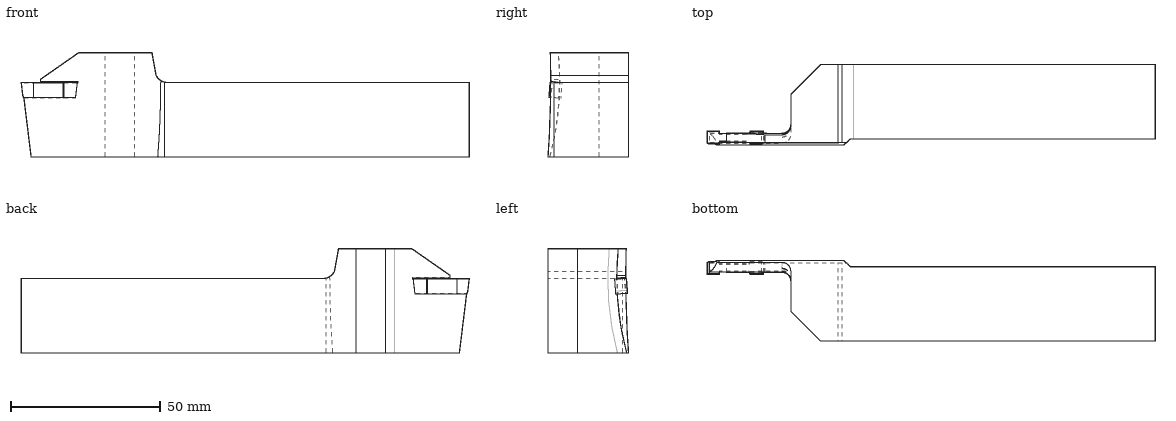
import cadquery as cq
import math


total_length = 150.0
shank_width = 25.0
shank_height = 25.0
head_height = 35.0
outer_face_y = -2.05

blade_front_bottom_x = 3.3
jaw_front_x = 6.4
jaw_front_height = 0.65
jaw_top_x = 19.3
head_back_x = 43.8
back_round_start_x = 45.2
back_round_end_x = 48.9
back_round_radius = 4.1

blade_length = 28.0
corner_chamfer = 10.0
root_fillet_radius = 3.0
ramp_end_x = 47.9
ramp_run = 2.2

blade_inner_y = 1.95
blade_inner_radius = 95.0
blade_outer_y = -1.1
outer_face_sag = blade_outer_y - outer_face_y
blade_outer_radius = (shank_height**2 / outer_face_sag + outer_face_sag) / 2

insert_top_z = shank_height
insert_height = 5.0
insert_length = 18.8
insert_width = 4.0
insert_center_y = 0.65
neck_depth = 0.75
neck_start_x = 4.1
neck_end_x = 14.0
neck_end_run = 0.4
relief_slope = math.tan(math.radians(7))
insert_tilt = 4.0
toe_height = 1.0
toe_setback = 0.2
insert_outer_y = insert_center_y - insert_width / 2
seat_z = insert_top_z - insert_height
end_setback = insert_height * relief_slope
blade_front_seat_x = blade_front_bottom_x - seat_z * relief_slope

jaw_gap = 0.35
gap_overrun = 0.3

reach = 10.0


def block(x_min, x_max, y_min, y_max, z_min, z_max):
    return cq.Workplane("XY").box(
        x_max - x_min, y_max - y_min, z_max - z_min, centered=False
    ).translate((x_min, y_min, z_min))


def side_prism(outline, y_min, y_max):
    """Extrude an XZ outline from y_min to y_max."""
    return cq.Workplane("XZ", origin=(0, y_max, 0)).polyline(outline).close().extrude(y_max - y_min)


def cylinder_along_x(y_apex, radius, x_min, x_max):
    """Cylinder whose +Y-most line lies at y_apex, level with the cutting edge."""
    axis_start = (x_min, y_apex - radius, insert_top_z)
    return cq.Workplane("YZ", origin=axis_start).circle(radius).extrude(x_max - x_min)


def tilt(body):
    """Tilt a body about the top -Y edge of the insert."""
    return body.rotate(
        (0, insert_outer_y, insert_top_z), (1, insert_outer_y, insert_top_z), -insert_tilt)


def make_profile():
    """Side outline of head and shank, with the round where the head's back meets the shank."""
    run = back_round_end_x - back_round_start_x
    rise = back_round_radius - math.sqrt(back_round_radius**2 - run**2)
    jaw_bottom_z = insert_top_z + jaw_gap
    return (
        cq.Workplane("XZ", origin=(0, shank_width, 0))
        .moveTo(blade_front_bottom_x, 0)
        .lineTo(blade_front_seat_x, seat_z)
        .lineTo(jaw_front_x, seat_z)
        .lineTo(jaw_front_x, jaw_bottom_z + jaw_front_height)
        .lineTo(jaw_top_x, head_height)
        .lineTo(head_back_x, head_height)
        .lineTo(back_round_start_x, shank_height + rise)
        .radiusArc((back_round_end_x, shank_height), -back_round_radius)
        .lineTo(total_length, shank_height)
        .lineTo(total_length, 0)
        .close()
        .extrude(shank_width - outer_face_y)
    )


def make_plan():
    """Plan outline: chamfered head corner, and the ramp from outer face to shank."""
    outline = [
        (0, outer_face_y),
        (ramp_end_x - ramp_run, outer_face_y),
        (ramp_end_x, 0),
        (total_length, 0),
        (total_length, shank_width),
        (blade_length + corner_chamfer, shank_width),
        (blade_length, shank_width - corner_chamfer),
        (0, shank_width - corner_chamfer),
    ]
    return cq.Workplane("XY").polyline(outline).close().extrude(head_height)


def make_blade_clearance():
    """Space beside the blade, its inside edge rounded to leave a fillet at the blade's root."""
    space = block(-reach, blade_length, -reach, shank_width + reach, -reach, head_height + reach)
    space = space.cut(cylinder_along_x(blade_inner_y, blade_inner_radius, -2 * reach, total_length))
    root = cq.selectors.BoxSelector(
        (blade_length - root_fillet_radius, -reach, 0),
        (blade_length + root_fillet_radius, reach, head_height),
    )
    return space.edges(root).fillet(root_fillet_radius)


def make_insert():
    """Double-ended insert with relieved ends and a neck set in on both sides."""
    outline = [
        (0, insert_top_z),
        (insert_length, insert_top_z),
        (insert_length - end_setback, seat_z),
        (end_setback + toe_setback, seat_z),
        ((insert_height - toe_height) * relief_slope, seat_z + toe_height),
    ]
    y_min = insert_outer_y
    y_max = insert_outer_y + insert_width
    insert = side_prism(outline, y_min, y_max)
    neck_cut = (
        cq.Workplane("XY", origin=(0, 0, seat_z))
        .polyline([
            (neck_start_x, y_min),
            (neck_start_x, y_min + neck_depth),
            (neck_end_x, y_min + neck_depth),
            (neck_end_x + neck_end_run, y_min),
        ])
        .close()
        .extrude(insert_height)
    )
    mirrored_cut = neck_cut.mirror("XZ", (0, insert_center_y, 0))
    return tilt(insert.cut(neck_cut).cut(mirrored_cut))


def make_pocket():
    """Insert seat plus the thin gap under the jaw."""
    outline = [
        (-reach, seat_z),
        (insert_length - end_setback, seat_z),
        (insert_length, insert_top_z),
        (insert_length + gap_overrun, insert_top_z),
        (insert_length + gap_overrun, insert_top_z + jaw_gap),
        (-reach, insert_top_z + jaw_gap),
    ]
    return tilt(side_prism(outline, -reach, reach))


def make_holder():
    holder = make_profile().intersect(make_plan())
    outer_hollow = cylinder_along_x(blade_outer_y, blade_outer_radius, -reach, ramp_end_x)
    return holder.cut(make_blade_clearance()).cut(outer_hollow).cut(make_pocket())


holder = make_holder()
insert = make_insert()
result = cq.Compound.makeCompound([holder.val(), insert.val()])